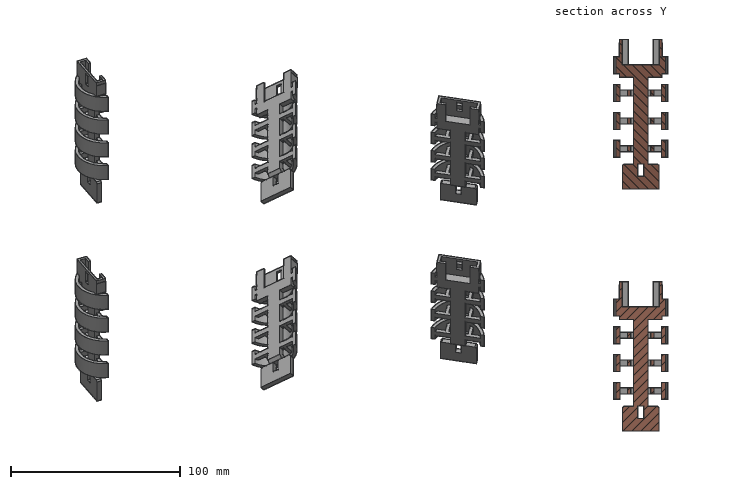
import cadquery as cq
import math

total_height = 230.5
link_height = 88.0
link_pitch = total_height - link_height
link_count = 2

band_width = 31.8
band_depth = 11.8
band_thickness = 2.0
band_height = 10.1
band_pitch = 16.4
band_count = 4
first_band_drop = 10.1
band_radius = ((band_width / 2) ** 2 + band_depth**2) / (2 * band_depth)
band_inner_radius = band_radius - band_thickness
band_axis_y = band_radius - band_depth

spine_width = 8.8
spine_thickness = 3.2
web_thickness = 2.0
web_height = 3.7
strut_inner_x = 5.8
strut_thickness = 2.0

socket_width = 25.1
socket_depth = 6.2
cavity_width = 21.7
cavity_back = 1.4
cavity_front = 4.8
cavity_height = 14.8
lip_gap = 14.5
socket_slope_drop = 21.5
socket_foot_drop = 22.4

tongue_width = 21.7
tongue_back = 1.8
tongue_front = 4.8
tongue_height = 14.8
tongue_shoulder_chamfer = 1.0
step_slope_height = 1.0

pad_thickness = 0.2
pad_top_drop = 2.0
pad_bottom_drop = 9.7

slot_width = 3.5
slot_height = 7.1
socket_slot_drop = 2.3

tongue_top = tongue_height
first_band_top = link_height - first_band_drop
last_band_bottom = first_band_top - (band_count - 1) * band_pitch - band_height


def box(width, back, front, bottom, top, center_x=0.0):
    """Upright box spanning two depths measured toward -Y from the back plane."""
    return (
        cq.Workplane("XY")
        .box(width, front - back, top - bottom, centered=(True, False, False))
        .translate((center_x, -front, bottom))
    )


def side_profile(points, width):
    """Extrude (depth, height) points symmetrically along X."""
    outline = [(-depth, height) for depth, height in points]
    return cq.Workplane("YZ").polyline(outline).close().extrude(width / 2, both=True)


def segment(radius, bottom, height):
    """Part of a disc about the band axis that lies in front of the back plane."""
    half_chord = math.sqrt(radius**2 - band_axis_y**2)
    return (
        cq.Workplane("XY", origin=(0, 0, bottom))
        .moveTo(-half_chord, 0)
        .threePointArc((0, band_axis_y - radius), (half_chord, 0))
        .close()
        .extrude(height)
    )


def make_band(bottom):
    """Curved band with a back web and two struts between the web and the band."""
    inside = segment(band_inner_radius, bottom, band_height)
    band = segment(band_radius, bottom, band_height).cut(inside)
    web_bottom = bottom + (band_height - web_height) / 2
    web_top = web_bottom + web_height
    web = box(band_width, 0, web_thickness, web_bottom, web_top)
    strut_x = strut_inner_x + strut_thickness / 2
    for side in (-1, 1):
        web = web.union(box(strut_thickness, 0, band_depth, web_bottom, web_top, side * strut_x))
    return band.union(web.intersect(segment(band_radius, web_bottom, web_height)))


def make_socket():
    """Block with a sloped underside and a foot, later hollowed for the tongue."""
    slope_end = link_height - socket_slope_drop
    foot_bottom = link_height - socket_foot_drop
    slope_start = slope_end + socket_depth - spine_thickness
    outline = [
        (0, foot_bottom),
        (spine_thickness, foot_bottom),
        (spine_thickness, slope_end),
        (socket_depth, slope_start),
        (socket_depth, link_height),
        (0, link_height),
    ]
    socket = side_profile(outline, socket_width)

    first_band_bottom = first_band_top - band_height
    band_slab = box(band_width, 0, band_depth, first_band_bottom, first_band_top)
    socket = socket.cut(band_slab.cut(segment(band_radius, first_band_bottom, band_height)))

    pad_bottom = link_height - pad_bottom_drop
    pad_top = link_height - pad_top_drop
    pad_span = socket_width + 2 * pad_thickness
    return socket.union(box(pad_span, 0, socket_depth, pad_bottom, pad_top))


def make_spine():
    """Central bar whose lower end steps forward onto the tongue."""
    outline = [
        (0, tongue_top + tongue_back),
        (tongue_back, tongue_top),
        (tongue_front, tongue_top),
        (tongue_front, last_band_bottom - step_slope_height),
        (spine_thickness, last_band_bottom),
        (spine_thickness, link_height - socket_foot_drop),
        (0, link_height - socket_foot_drop),
    ]
    return side_profile(outline, spine_width)


def make_tongue():
    """Flat plate with chamfered upper corners."""
    tongue = box(tongue_width, tongue_back, tongue_front, 0, tongue_top)
    return tongue.faces(">Z").edges("|Y").chamfer(tongue_shoulder_chamfer)


def make_link():
    """One complete link standing on Z = 0."""
    link = make_socket().union(make_spine()).union(make_tongue())
    for index in range(band_count):
        link = link.union(make_band(first_band_top - index * band_pitch - band_height))

    cavity_floor = link_height - cavity_height
    link = link.cut(box(cavity_width, cavity_back, cavity_front, cavity_floor, link_height))
    link = link.cut(box(lip_gap, 0, cavity_front, cavity_floor, link_height))

    for slot_top in (link_height - socket_slot_drop, tongue_top):
        link = link.cut(box(slot_width, 0, socket_depth, slot_top - slot_height, slot_top))
    return link


links = [
    make_link().translate((0, 0, index * link_pitch)).val()
    for index in range(link_count)
]
result = cq.Compound.makeCompound(links)